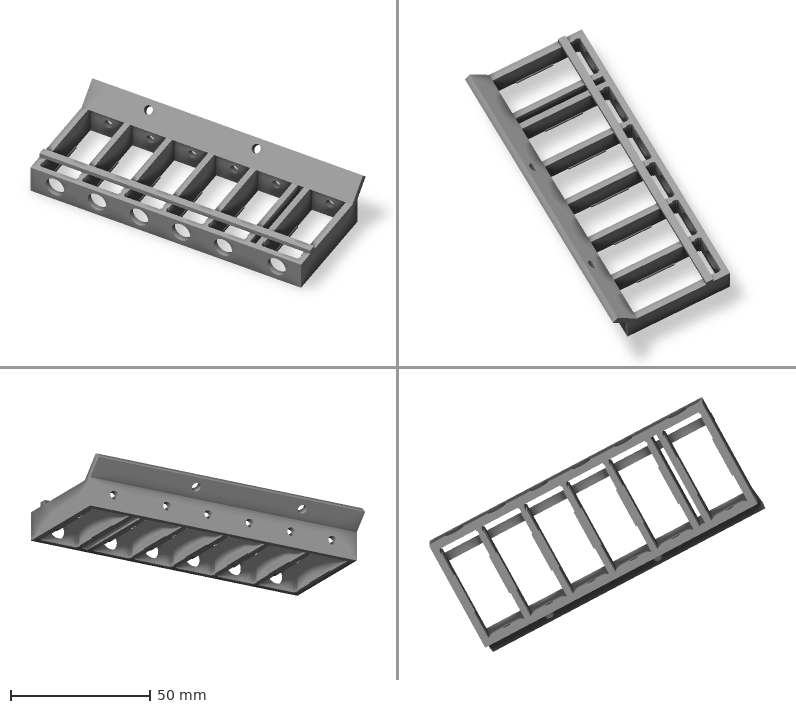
import cadquery as cq

LENGTH = 111.2
BODY_DEPTH = 42.0
BODY_HEIGHT = 10.9
TOTAL_DEPTH = 47.9
TOTAL_HEIGHT = 18.8
FRONT_WALL = 2.3
BACK_WALL = 2.3

BAY_WIDTH = 14.9
RIB_WIDTH = 2.3
GAP_WIDTH = 2.5
PITCHED_BAYS = 5
BAY_PITCH = BAY_WIDTH + RIB_WIDTH
BAY_ROW_LENGTH = PITCHED_BAYS * BAY_PITCH + GAP_WIDTH + RIB_WIDTH + BAY_WIDTH
SIDE_WALL = (LENGTH - BAY_ROW_LENGTH) / 2
BAY_DEPTH = BODY_DEPTH - FRONT_WALL - BACK_WALL
GAP_START = SIDE_WALL + PITCHED_BAYS * BAY_PITCH
bay_starts = [SIDE_WALL + i * BAY_PITCH for i in range(PITCHED_BAYS)]
bay_starts.append(GAP_START + GAP_WIDTH + RIB_WIDTH)

LIP_WIDTH = 0.5
LIP_HEIGHT = 0.8
LIP_START = 13.3
LIP_LENGTH = 15.2
NOTCH_DEPTH = 0.3
NOTCH_START = 3.0
NOTCH_WIDTH = 1.7

HOLE_HEIGHT = (LIP_HEIGHT + BODY_HEIGHT) / 2
FRONT_HOLE_DIAMETER = 7.5
BACK_HOLE_DIAMETER = 3.3

RAIL_START = 6.8
RAIL_WIDTH = 3.0
RAIL_HEIGHT = 1.7

FLANGE_RUN = TOTAL_DEPTH - BODY_DEPTH
FLANGE_END_STEP = TOTAL_HEIGHT - BODY_HEIGHT - FLANGE_RUN
FLANGE_FOOT = 2 * FLANGE_END_STEP
FLANGE_HOLE_DIAMETER = 3.5
FLANGE_HOLE_RISE = 5.1
FLANGE_HOLE_POSITIONS = (24.6, 68.8)


def block(x, y, z, length, depth, height):
    """Box given by its lowest corner and its size."""
    return cq.Workplane("XY").box(length, depth, height, centered=False).translate((x, y, z))


def rod(x, y, z, diameter, length, direction):
    """Cylinder starting at a point and running along a direction."""
    return cq.Workplane(
        cq.Solid.makeCylinder(diameter / 2, length, cq.Vector(x, y, z), cq.Vector(*direction))
    )


def make_flange():
    foot_front = BODY_DEPTH - FLANGE_FOOT
    flange = (
        cq.Workplane("YZ")
        .moveTo(foot_front, BODY_HEIGHT)
        .lineTo(BODY_DEPTH, BODY_HEIGHT)
        .lineTo(TOTAL_DEPTH, BODY_HEIGHT + FLANGE_RUN)
        .lineTo(TOTAL_DEPTH - FLANGE_END_STEP, TOTAL_HEIGHT)
        .close()
        .extrude(LENGTH)
    )
    hole_y = foot_front + FLANGE_HOLE_RISE - FLANGE_END_STEP
    hole_z = BODY_HEIGHT + FLANGE_HOLE_RISE + FLANGE_END_STEP
    hole_length = 2 * FLANGE_FOOT
    for x in FLANGE_HOLE_POSITIONS:
        flange = flange.cut(rod(x, hole_y, hole_z, FLANGE_HOLE_DIAMETER, hole_length, (0, 1, -1)))
    return flange


def make_bay_cut(start):
    """Open bay with a retaining lip low on each side wall and notches near the front."""
    bay = block(start, FRONT_WALL, 0, BAY_WIDTH, BAY_DEPTH, BODY_HEIGHT)
    for lip_x in (start, start + BAY_WIDTH - LIP_WIDTH):
        bay = bay.cut(block(lip_x, LIP_START, 0, LIP_WIDTH, LIP_LENGTH, LIP_HEIGHT))
    notches = block(
        start - NOTCH_DEPTH,
        NOTCH_START,
        0,
        BAY_WIDTH + 2 * NOTCH_DEPTH,
        NOTCH_WIDTH,
        BODY_HEIGHT,
    )
    return bay.union(notches)


def make_bay_holes(start):
    """Wide hole in the front wall in line with a small one in the back wall."""
    x = start + BAY_WIDTH / 2
    front = rod(x, 0, HOLE_HEIGHT, FRONT_HOLE_DIAMETER, FRONT_WALL, (0, 1, 0))
    back = rod(x, BODY_DEPTH - BACK_WALL, HOLE_HEIGHT, BACK_HOLE_DIAMETER, BACK_WALL, (0, 1, 0))
    return front, back


body = block(0, 0, 0, LENGTH, BODY_DEPTH, BODY_HEIGHT)
body = body.cut(block(GAP_START, FRONT_WALL, 0, GAP_WIDTH, BAY_DEPTH, BODY_HEIGHT))
for bay_start in bay_starts:
    body = body.cut(make_bay_cut(bay_start))
    for hole in make_bay_holes(bay_start):
        body = body.cut(hole)

rail = block(0, RAIL_START, BODY_HEIGHT, LENGTH, RAIL_WIDTH, RAIL_HEIGHT)
result = body.union(rail).union(make_flange())